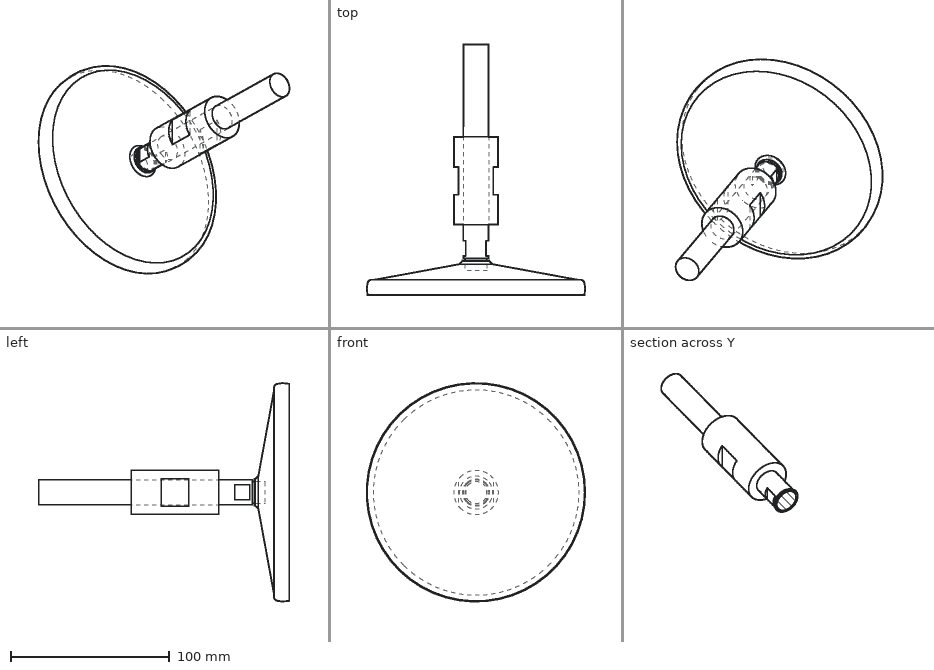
import cadquery as cq


FOOT_DIAMETER = 138.0
RIM_DRAFT = 0.5
RIM_WIDEST_Y = 4.5
RIM_TOP_Y = 7.5
SHOULDER_RADIUS = 64.8
SHOULDER_Y = 9.6
CONE_TOP_RADIUS = 10.5
CONE_TOP_Y = 19.6
COLLAR_RADIUS = 8.5
COLLAR_LOW_Y = 21.5
COLLAR_TOP_Y = 22.0

ROD_DIAMETER = 16.0
ROD_TOP_Y = 158.0
ROD_LOW_Y = 23.2
NECK_DIAMETER = 13.9
SOCKET_DEPTH = 6.3
ROD_FLAT_LOW_Y = 24.8
ROD_FLAT_LENGTH = 9.5
ROD_ACROSS_FLATS = 13.0

SLEEVE_DIAMETER = 28.0
SLEEVE_LOW_Y = 44.4
SLEEVE_LENGTH = 55.3
SLEEVE_FLAT_LENGTH = 17.4
SLEEVE_ACROSS_FLATS = 22.0


def cylinder(diameter, low_y, top_y):
    """Solid cylinder along Y between two heights."""
    low_plane = cq.Workplane("XZ", origin=(0, low_y, 0))
    return low_plane.circle(diameter / 2).extrude(low_y - top_y)


def cut_flats(body, diameter, across_flats, low_y, length):
    """Cut two opposite wrench flats, facing -X and +X, into a round body."""
    depth = (diameter - across_flats) / 2
    for side in (-1, 1):
        center_x = side * (across_flats / 2 + depth)
        cutter = cq.Workplane("XY").box(2 * depth, length, diameter)
        body = body.cut(cutter.translate((center_x, low_y + length / 2, 0)))
    return body


def make_foot():
    """Revolved disc with a rounded rim, a conical top, a flared collar and a blind socket."""
    widest_radius = FOOT_DIAMETER / 2
    rim_radius = widest_radius - RIM_DRAFT
    socket_low_y = COLLAR_TOP_Y - SOCKET_DEPTH

    profile = (
        cq.Workplane("XY")
        .moveTo(0, 0)
        .lineTo(rim_radius, 0)
        .lineTo(widest_radius, RIM_WIDEST_Y)
        .lineTo(rim_radius, RIM_TOP_Y)
        .tangentArcPoint((SHOULDER_RADIUS, SHOULDER_Y), relative=False)
        .lineTo(CONE_TOP_RADIUS, CONE_TOP_Y)
        .lineTo(COLLAR_RADIUS, COLLAR_LOW_Y)
        .lineTo(COLLAR_RADIUS, COLLAR_TOP_Y)
        .lineTo(0, COLLAR_TOP_Y)
        .close()
    )
    disc = profile.revolve(360, (0, 0, 0), (0, 1, 0))
    return disc.cut(cylinder(NECK_DIAMETER, socket_low_y, COLLAR_TOP_Y))


def make_spindle():
    """Round rod with wrench flats near its foot end and a thinner neck in the socket."""
    rod = cylinder(ROD_DIAMETER, ROD_LOW_Y, ROD_TOP_Y)
    rod = cut_flats(rod, ROD_DIAMETER, ROD_ACROSS_FLATS, ROD_FLAT_LOW_Y, ROD_FLAT_LENGTH)
    neck = cylinder(NECK_DIAMETER, COLLAR_TOP_Y - SOCKET_DEPTH, ROD_LOW_Y)
    return rod.union(neck)


def make_sleeve():
    """Round sleeve bored for the rod, with wrench flats at mid length."""
    top_y = SLEEVE_LOW_Y + SLEEVE_LENGTH
    flat_low_y = SLEEVE_LOW_Y + (SLEEVE_LENGTH - SLEEVE_FLAT_LENGTH) / 2
    sleeve = cylinder(SLEEVE_DIAMETER, SLEEVE_LOW_Y, top_y)
    sleeve = cut_flats(sleeve, SLEEVE_DIAMETER, SLEEVE_ACROSS_FLATS, flat_low_y, SLEEVE_FLAT_LENGTH)
    return sleeve.cut(cylinder(ROD_DIAMETER, SLEEVE_LOW_Y, top_y))


foot = make_foot()
spindle = make_spindle()
sleeve = make_sleeve()

result = cq.Compound.makeCompound([foot.val(), spindle.val(), sleeve.val()])